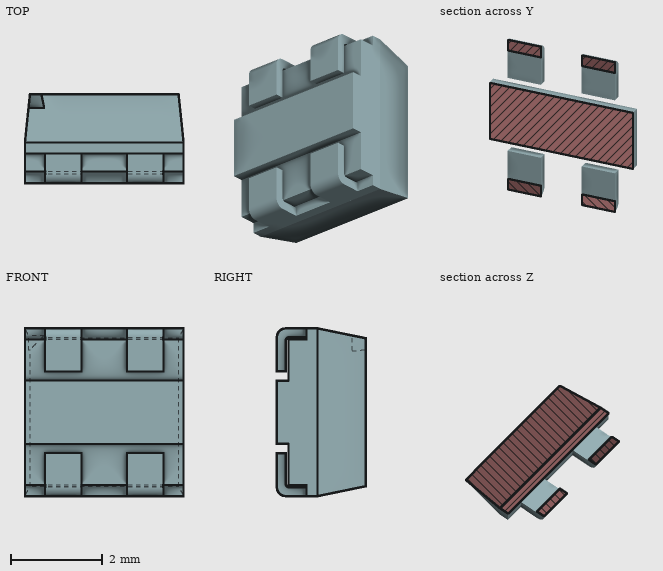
import cadquery as cq

width = 3.48
depth = 1.95
height = 3.68

rib_depth = 0.255
rib_height = 1.385
block_depth = 0.397
flange_depth = 0.243
flange_step = 0.243
block_front_y = rib_depth
flange_front_y = block_front_y + block_depth
cover_front_y = flange_front_y + flange_depth

cover_depth = depth - cover_front_y
cover_taper_x = 0.11
cover_taper_z = 0.217
mark_leg = 0.255
mark_depth = 0.3

lead_width = 0.802
lead_pitch = 1.792
lead_thickness = 0.2
lead_foot_length = 0.945
outer_bend_radius = 0.2
inner_bend_radius = 0.08


def make_block(y_start, y_length, z_height):
    """Full-width block centred on X and Z."""
    return cq.Workplane("XY").box(width, y_length, z_height, centered=(True, False, True)).translate(
        (0, y_start, 0)
    )


def make_base():
    """Flange, recessed block and mounting rib as one solid."""
    rib = make_block(0, rib_depth, rib_height)
    block = make_block(block_front_y, block_depth, height - 2 * flange_step)
    flange = make_block(flange_front_y, flange_depth, height)
    return flange.union(block).union(rib)


def make_cover():
    """Tapered cover with a notch at the upper -X corner of its +Y face."""
    face_width = width - 2 * cover_taper_x
    face_height = height - 2 * cover_taper_z
    cover = (
        cq.Workplane("XZ", origin=(0, cover_front_y, 0))
        .rect(width, height)
        .workplane(offset=-cover_depth)
        .rect(face_width, face_height)
        .loft(ruled=True)
    )

    corner_x = -face_width / 2
    corner_z = face_height / 2
    overrun = cover_taper_x + cover_taper_z
    notch = (
        cq.Workplane("XZ", origin=(corner_x, depth, corner_z))
        .moveTo(-overrun, overrun)
        .lineTo(-overrun, -mark_leg - overrun)
        .lineTo(mark_leg + overrun, overrun)
        .close()
        .extrude(mark_depth)
    )
    return cover.cut(notch)


def make_upper_lead(center_x):
    """Lead along the upper side, with its foot turned down on the mounting face."""
    top_z = height / 2
    inner_z = top_z - lead_thickness
    foot_end_z = top_z - lead_foot_length
    profile = (
        cq.Workplane("YZ", origin=(center_x - lead_width / 2, 0, 0))
        .moveTo(flange_front_y, top_z)
        .lineTo(outer_bend_radius, top_z)
        .radiusArc((0, top_z - outer_bend_radius), -outer_bend_radius)
        .lineTo(0, foot_end_z)
        .lineTo(lead_thickness, foot_end_z)
        .lineTo(lead_thickness, inner_z - inner_bend_radius)
        .radiusArc((lead_thickness + inner_bend_radius, inner_z), inner_bend_radius)
        .lineTo(flange_front_y, inner_z)
        .close()
    )
    return profile.extrude(lead_width)


base = make_base()
cover = make_cover()

leads = []
for side in (-1, 1):
    upper_lead = make_upper_lead(side * lead_pitch / 2)
    lower_lead = upper_lead.mirror("XY")
    leads.append(upper_lead.val())
    leads.append(lower_lead.val())

result = cq.Compound.makeCompound([base.val(), cover.val(), *leads])